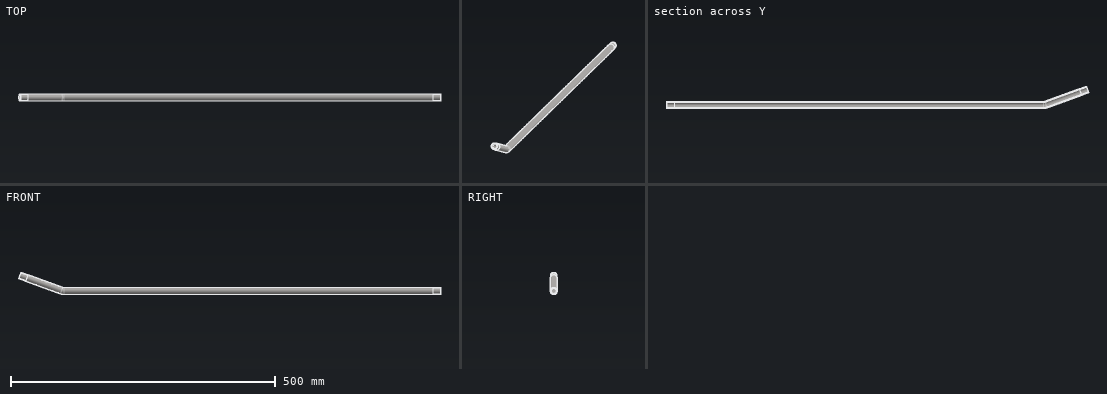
import cadquery as cq
import math

overall_length = 797.0
overall_height = 42.0
tube_diameter = 13.5
end_diameter = 13.0
bore_diameter = 9.5
end_length = 14.0
bend_angle = 20.0
bend_radius = 13.5

tube_radius = tube_diameter / 2
end_radius = end_diameter / 2
sine = math.sin(math.radians(bend_angle))
cosine = math.cos(math.radians(bend_angle))

tip_x = end_radius * sine
tip_z = overall_height - tube_radius - end_radius * cosine
corner_x = tip_x + tip_z * cosine / sine
tangent_length = bend_radius * math.tan(math.radians(bend_angle / 2))
bend_start = (corner_x - tangent_length * cosine, tangent_length * sine)
bend_middle = (
    corner_x + tangent_length - bend_radius * math.sin(math.radians(bend_angle / 2)),
    bend_radius * (1 - math.cos(math.radians(bend_angle / 2))),
)
bend_end = (corner_x + tangent_length, 0)

leg_direction = cq.Vector(cosine, 0, -sine)
tip_plane = cq.Plane(origin=(tip_x, 0, tip_z), xDir=(0, 1, 0), normal=leg_direction)
far_plane = cq.Plane(origin=(overall_length, 0, 0), xDir=(0, 1, 0), normal=(-1, 0, 0))


def bent_rod(diameter):
    """Solid round rod following the whole centreline."""
    path = (
        cq.Workplane("XZ")
        .moveTo(tip_x, tip_z)
        .lineTo(*bend_start)
        .threePointArc(bend_middle, bend_end)
        .lineTo(overall_length, 0)
    )
    return cq.Workplane(tip_plane).circle(diameter / 2).sweep(path)


def end_step(plane):
    """Ring of material removed to neck down one tube end."""
    return cq.Workplane(plane).circle(tube_diameter).circle(end_radius).extrude(end_length)


tube = bent_rod(tube_diameter)
for end_plane in (tip_plane, far_plane):
    tube = tube.cut(end_step(end_plane))

result = tube.cut(bent_rod(bore_diameter))